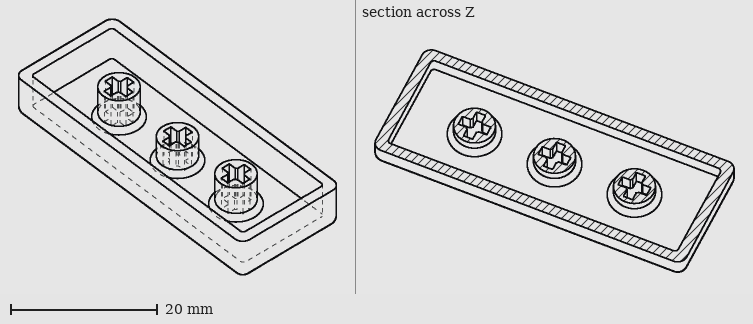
import cadquery as cq

length = 46.6
width = 18.05
height = 6.9
corner_radius = 1.4
wall = 1.65
floor_thickness = 1.4
cavity_corner_radius = 0.5

stem_pitch = 12.0
stem_diameter = 5.8
middle_stem_recess = 1.15
foot_flare = 0.85
cross_span = 4.2
cross_arm_width = 1.3
cross_corner_chamfer = 0.3

middle_stem_top = height - middle_stem_recess


def make_tray():
    body = cq.Workplane("XY").box(length, width, height, centered=(True, True, False))
    body = body.edges("|Z").fillet(corner_radius)
    body = body.faces("<Z").edges().fillet(corner_radius)
    cavity = (
        cq.Workplane("XY", origin=(0, 0, floor_thickness))
        .rect(length - 2 * wall, width - 2 * wall)
        .extrude(height - floor_thickness)
        .edges("|Z")
        .fillet(cavity_corner_radius)
    )
    return body.cut(cavity)


def make_stem(top):
    """Post standing on the cavity floor, revolved from its half section."""
    radius = stem_diameter / 2
    return (
        cq.Workplane("XZ")
        .moveTo(0, floor_thickness)
        .lineTo(radius + foot_flare, floor_thickness)
        .lineTo(radius, floor_thickness + foot_flare)
        .lineTo(radius, top)
        .lineTo(0, top)
        .close()
        .revolve(360, (0, 0, 0), (0, 1, 0))
    )


def make_socket(top):
    """Cross-shaped cutter with chamfered inner corners, reaching down to the cavity floor."""
    socket_depth = top - floor_thickness
    plane = cq.Workplane("XY", origin=(0, 0, top))
    arm_x = plane.rect(cross_span, cross_arm_width).extrude(-socket_depth)
    arm_y = plane.rect(cross_arm_width, cross_span).extrude(-socket_depth)
    core_side = (cross_arm_width + cross_corner_chamfer) * 2 ** 0.5
    core = (
        plane.transformed(rotate=(0, 0, 45))
        .rect(core_side, core_side)
        .extrude(-socket_depth)
    )
    return arm_x.union(arm_y).union(core)


result = make_tray()
for stem_x, stem_top in ((-stem_pitch, height), (0, middle_stem_top), (stem_pitch, height)):
    stem = make_stem(stem_top).cut(make_socket(stem_top))
    result = result.union(stem.translate((stem_x, 0, 0)))